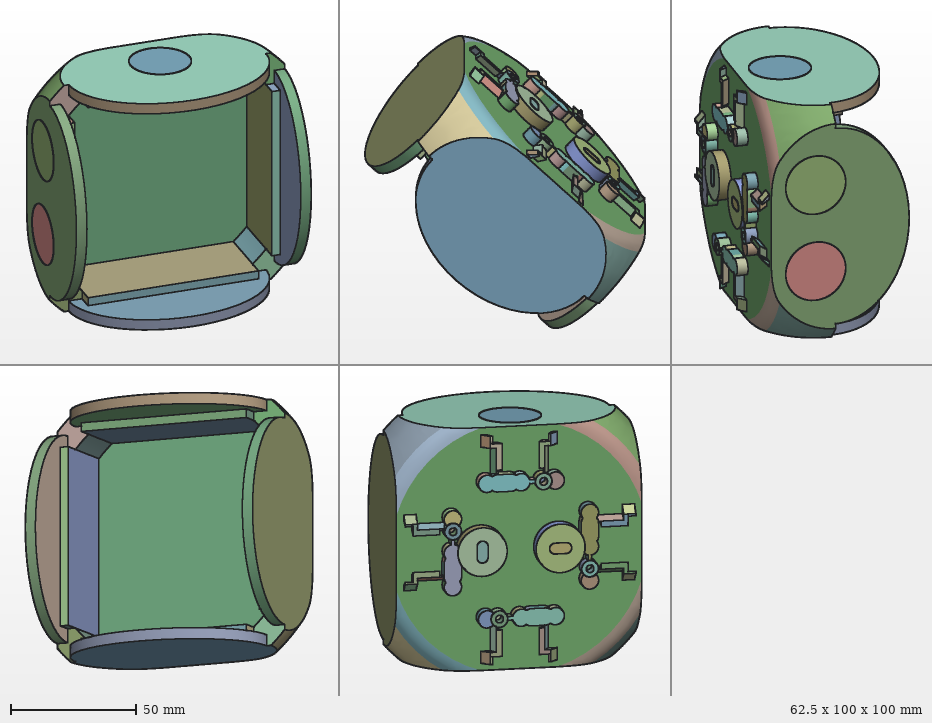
import cadquery as cq
import math

half_width = 50.0
rim_x = 26.8
lobe_tip_x = 57.5
lobe_half_width = 42.0
lobe_thickness = 4.5

face_radius = 52.35
rim_radius = 66.6
side_arc_radius = 38.0
edge_arc_end_x = 3.45
edge_arc_radius = 9.0

floor_thickness = 4.5
cavity_half_width = lobe_half_width
cavity_radius = 55.5
lip_end_x = 33.7

knockout_diameter = 25.0
knockout_x = 18.5
knockout_offset = 18.5
mark_depth = 0.2

boss_diameter = 20.0
boss_offset = 15.9
boss_height = 5.0
slot_length = 9.0
slot_width = 4.5
upright = 90.0
level = 0.0

side_count = 4
group_radius = 27.9
pad_radius = 3.55
pad_height = 4.5
pad_spacing = 13.95
bar_pad_start = -9.7
bar_pad_end = -4.1
post_offset = 9.0
post_radius = 3.4
post_height = 5.0
post_hole_diameter = 3.1
link_width = 1.5

hook_height = 3.0
hook_lean = 1.9
stem_outer = 9.9
stem_inner = 7.5
stem_start = 30.0
stem_step = 32.9
stem_end = 43.8
stem_tip_inner = 9.2
foot_start = 42.0
foot_end = 47.0
foot_outer = 12.3
foot_inner = 11.4
foot_outer_lean = 3.3

overlap = 0.5


def on_face(depth):
    """Sketch plane parallel to the mounting face: local x = -Y, local y = Z, normal = -X."""
    return cq.Workplane(cq.Plane(origin=(depth, 0, 0), xDir=(0, -1, 0), normal=(-1, 0, 0)))


def raised(centers, radius, height):
    """Round pads standing on the mounting face."""
    return on_face(overlap).pushPoints(centers).circle(radius).extrude(height + overlap)


def turn(shape, side):
    """Turn a +Z side feature about the X axis onto another side."""
    return shape.rotate((0, 0, 0), (1, 0, 0), side * 360 / side_count)


def arc_middle(start, end, radius):
    """Middle point of an arc from start to end that bulges toward -X and larger radius."""
    dx = end[0] - start[0]
    dr = end[1] - start[1]
    chord = math.hypot(dx, dr)
    sagitta = radius - math.sqrt(radius**2 - (chord / 2) ** 2)
    mid_x = (start[0] + end[0]) / 2 - sagitta * dr / chord
    mid_r = (start[1] + end[1]) / 2 + sagitta * dx / chord
    return (mid_x, mid_r)


def make_shell():
    """Square block with its corners trimmed by the turned profile."""
    reach = rim_x - edge_arc_end_x
    edge_arc_end_radius = rim_radius - side_arc_radius + math.sqrt(side_arc_radius**2 - reach**2)
    face_edge = (0, face_radius)
    arc_joint = (edge_arc_end_x, edge_arc_end_radius)
    rim_edge = (rim_x, rim_radius)
    turned = (
        cq.Workplane("XY")
        .lineTo(*face_edge)
        .threePointArc(arc_middle(face_edge, arc_joint, edge_arc_radius), arc_joint)
        .threePointArc(arc_middle(arc_joint, rim_edge, side_arc_radius), rim_edge)
        .lineTo(rim_x, 0)
        .close()
        .revolve(360, (0, 0, 0), (1, 0, 0))
    )
    block = cq.Workplane("YZ").rect(2 * half_width, 2 * half_width).extrude(rim_x)
    return block.intersect(turned)


def make_lobe():
    """Half-elliptical flap that continues the +Z wall, with its inner lip."""
    flap = (
        cq.Workplane("XY", origin=(0, 0, half_width - lobe_thickness))
        .center(rim_x, 0)
        .ellipse(lobe_tip_x - rim_x, lobe_half_width)
        .extrude(lobe_thickness)
    )
    keep_length = lobe_tip_x - rim_x + 2 * overlap
    keep = (
        cq.Workplane("YZ", origin=(rim_x - overlap, 0, 0))
        .rect(2 * lobe_half_width, 2 * half_width)
        .extrude(keep_length)
    )
    lip_half_length = math.sqrt(cavity_radius**2 - cavity_half_width**2)
    lip_depth = half_width - cavity_half_width
    lip = (
        cq.Workplane("YZ", origin=(rim_x - overlap, 0, 0))
        .center(0, half_width - lip_depth / 2)
        .rect(2 * lip_half_length, lip_depth)
        .extrude(lip_end_x - rim_x + overlap)
    )
    return flap.intersect(keep).union(lip)


def make_cavity():
    """Square hollow with round corners, open at the +X end."""
    depth = lobe_tip_x - floor_thickness
    square = (
        cq.Workplane("YZ", origin=(floor_thickness, 0, 0))
        .rect(2 * cavity_half_width, 2 * cavity_half_width)
        .extrude(depth)
    )
    cylinder = cq.Workplane("YZ", origin=(floor_thickness, 0, 0)).circle(cavity_radius).extrude(depth)
    return square.intersect(cylinder)


def make_knockouts():
    """Two round marks on the -Y wall and one on the +Z wall."""
    pair = (
        cq.Workplane("XZ", origin=(0, -half_width + mark_depth, 0))
        .pushPoints([(knockout_x, knockout_offset), (knockout_x, -knockout_offset)])
        .circle(knockout_diameter / 2)
        .extrude(2 * mark_depth)
    )
    single = (
        cq.Workplane("XY", origin=(0, 0, half_width - mark_depth))
        .center(knockout_x, 0)
        .circle(knockout_diameter / 2)
        .extrude(2 * mark_depth)
    )
    return pair.union(single)


def make_boss(offset, slot_angle):
    """Round boss with a shallow slot in its top."""
    slot = (
        on_face(mark_depth - boss_height)
        .center(offset, 0)
        .slot2D(slot_length, slot_width, slot_angle)
        .extrude(2 * mark_depth)
    )
    return raised([(offset, 0)], boss_diameter / 2, boss_height).cut(slot)


def hook_part(start, end, top_outer, top_inner, outer_lean, inner_lean):
    """Leaning prism; its cross-section is taken across Y and swept along Z from start to end."""
    outer_slope = outer_lean / hook_height
    inner_slope = inner_lean / hook_height
    section = [
        (-hook_height, -top_outer),
        (-hook_height, -top_inner),
        (overlap, -(top_inner + inner_lean + inner_slope * overlap)),
        (overlap, -(top_outer + outer_lean + outer_slope * overlap)),
    ]
    return cq.Workplane("XY", origin=(0, 0, start)).polyline(section).close().extrude(end - start)


def make_hook():
    """Narrow tip, long stem, bend and offset foot, running outward along +Z."""
    tip = hook_part(stem_start, stem_step, stem_outer, stem_tip_inner, hook_lean, hook_lean)
    stem = hook_part(stem_step, stem_end, stem_outer, stem_inner, hook_lean, hook_lean)
    bend = hook_part(foot_start, stem_end, foot_outer, stem_inner, foot_outer_lean, hook_lean)
    foot = hook_part(foot_start, foot_end, foot_outer, foot_inner, foot_outer_lean, hook_lean)
    return tip.union(stem).union(bend).union(foot)


def make_latch_group():
    """Row of pads, a post with a blind hole joined by a thin link, and two mirrored hooks."""
    pad_positions = [-pad_spacing, 0, pad_spacing]
    pads = raised([(u, group_radius) for u in pad_positions], pad_radius, pad_height)
    bar = (
        on_face(overlap)
        .center((bar_pad_start + bar_pad_end) / 2, group_radius)
        .slot2D(bar_pad_end - bar_pad_start + 2 * pad_radius, 2 * pad_radius)
        .extrude(pad_height + overlap)
    )
    link = (
        on_face(overlap)
        .center(post_offset / 2, group_radius)
        .rect(post_offset, link_width)
        .extrude(pad_height + overlap)
    )
    post = raised([(post_offset, group_radius)], post_radius, post_height)
    post_hole = (
        on_face(0)
        .center(post_offset, group_radius)
        .circle(post_hole_diameter / 2)
        .extrude(post_height)
    )
    hook = make_hook()
    group = pads.union(bar).union(link).union(post).union(hook).union(hook.mirror("XZ"))
    return group.cut(post_hole)


lobe = make_lobe()
latch_group = make_latch_group()

body = make_shell()
for side in range(side_count):
    body = body.union(turn(lobe, side))
body = body.cut(make_cavity())
body = body.cut(make_knockouts())
for side in range(side_count):
    body = body.union(turn(latch_group, side))
body = body.union(make_boss(-boss_offset, upright))
body = body.union(make_boss(boss_offset, level))

result = body